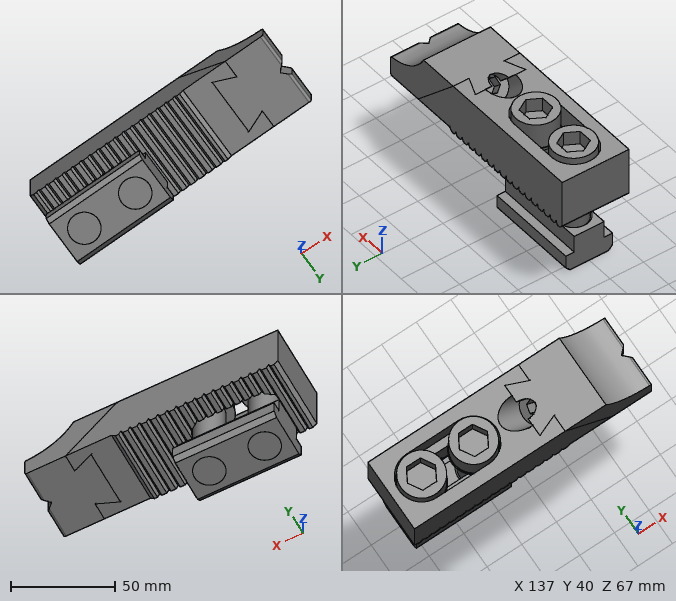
import cadquery as cq
import math


arm_length = 137.0
arm_width = 40.0
nut_height = 20.0
nut_gap = 14.0
base_height = 30.0
underside_z = nut_height + nut_gap
arm_top_z = underside_z + base_height

tooth_count = 18
toothed_length = 90.0
tooth_pitch = toothed_length / tooth_count
tooth_height = 2.0
groove_angle = 60.0
groove_half_width = tooth_height * math.tan(math.radians(groove_angle / 2))
smooth_underside_z = underside_z + tooth_height

nose_start_x = 110.5
nose_radius = 31.5
lip_height = 11.9
lip_fillet = 1.4
tip_notch_depth = 4.0

joint_top_x = 87.0
dovetail_depth = 11.2
dovetail_root_width = 21.0
dovetail_wide_width = 30.1
dovetail_face_x = joint_top_x - dovetail_depth

screw_pitch = 30.0
screws_middle_x = 32.6
screw_xs = [screws_middle_x - screw_pitch / 2, screws_middle_x + screw_pitch / 2]
head_diameter = 24.0
head_height = 16.0
collar_diameter = 25.0
collar_height = 1.4
head_protrusion = 3.0
shank_diameter = 16.0
hex_width = 14.0
hex_depth = 8.0
head_top_z = arm_top_z + head_protrusion
head_seat_z = head_top_z - head_height

seat_slot_width = 26.0
shank_slot_width = 17.0

nut_length = 55.0
nut_neck_width = 18.0
nut_foot_width = 28.0
nut_foot_height = 10.0
nut_chamfer = 2.5
nut_countersink_diameter = 17.8
nut_countersink_angle = 90

lock_diameter = 18.0
lock_length = 16.5
lock_depth = 9.9
lock_hex_width = 8.0
lock_hex_depth = 6.8
lock_hex_turn = 19.0
key_hole_diameter = 10.1


def hexagon_diameter(across_flats):
    """Diameter across the corners."""
    return across_flats / math.cos(math.radians(30))


def arm_blank():
    """Side outline of base and jaw, extruded over the full width."""
    lip_z = smooth_underside_z + lip_height
    outline = cq.Workplane("XZ").moveTo(0, arm_top_z).lineTo(nose_start_x, arm_top_z)
    outline = outline.radiusArc((arm_length, lip_z), -nose_radius)
    outline = outline.lineTo(arm_length, smooth_underside_z).lineTo(toothed_length, smooth_underside_z)
    outline = outline.lineTo(toothed_length - tooth_height, underside_z)
    outline = outline.lineTo(tooth_height, underside_z).lineTo(0, smooth_underside_z).close()
    blank = outline.extrude(arm_width / 2, both=True)
    return blank.edges("|Y").edges(">X").fillet(lip_fillet)


def tooth_grooves():
    grooves = cq.Workplane("XZ")
    for index in range(1, tooth_count):
        x = index * tooth_pitch
        grooves = grooves.moveTo(x - groove_half_width, underside_z).lineTo(x, smooth_underside_z)
        grooves = grooves.lineTo(x + groove_half_width, underside_z).close()
    return grooves.extrude(arm_width / 2, both=True)


def tip_notch():
    notch = cq.Workplane("XY").moveTo(arm_length - tip_notch_depth, 0)
    notch = notch.lineTo(arm_length, tip_notch_depth).lineTo(arm_length, -tip_notch_depth).close()
    return notch.extrude(arm_top_z)


def jaw_zone():
    """Space on the tip side of the joint: the dovetail outline swept down at 45 degrees."""
    root = dovetail_root_width / 2
    wide = dovetail_wide_width / 2
    points = [
        (arm_length, -arm_width), (arm_length, arm_width),
        (joint_top_x, arm_width), (joint_top_x, root),
        (dovetail_face_x, wide), (dovetail_face_x, -wide),
        (joint_top_x, -root), (joint_top_x, -arm_width),
    ]
    outline = cq.Wire.makePolygon([cq.Vector(x, y, arm_top_z) for x, y in points], close=True)
    sweep = cq.Vector(base_height, 0, -base_height)
    return cq.Workplane(cq.Solid.extrudeLinear(outline, [], sweep))


def lock_plane(depth):
    """Plane across the locking screw's axis, its normal pointing down into the joint."""
    offset = depth / math.sqrt(2)
    origin = (dovetail_face_x + offset, 0, arm_top_z - offset)
    return cq.Workplane(cq.Plane(origin=origin, xDir=(0, 1, 0), normal=(1, 0, -1)))


def lock_cylinder(diameter, start, end):
    return lock_plane(start).circle(diameter / 2).extrude(end - start)


def slot(width, bottom_z, top_z):
    """Round-ended slot along X, its end arcs centred on the clamping screws."""
    outline = cq.Workplane("XY", origin=(screws_middle_x, 0, bottom_z)).slot2D(screw_pitch + width, width)
    return outline.extrude(top_z - bottom_z)


def make_base(arm):
    base = arm.cut(jaw_zone()).cut(tooth_grooves())
    base = base.cut(slot(seat_slot_width, head_seat_z, arm_top_z))
    base = base.cut(slot(shank_slot_width, underside_z, head_seat_z))
    return base.cut(lock_cylinder(lock_diameter, -lock_diameter, lock_depth + lock_length))


def make_jaw(arm):
    jaw = arm.intersect(jaw_zone()).cut(tip_notch())
    jaw = jaw.cut(lock_cylinder(key_hole_diameter, -key_hole_diameter, lock_depth))
    return jaw.cut(lock_cylinder(lock_diameter, lock_depth, lock_depth + lock_length))


def make_lock_screw():
    screw = lock_cylinder(lock_diameter, lock_depth, lock_depth + lock_length)
    socket = lock_plane(lock_depth).transformed(rotate=(0, 0, lock_hex_turn))
    socket = socket.polygon(6, hexagon_diameter(lock_hex_width)).extrude(lock_hex_depth)
    return screw.cut(socket)


def make_clamping_screw(x):
    """Socket head screw whose shank passes through the T-nut and ends flush with its underside."""
    shank = cq.Workplane("XY", origin=(x, 0, 0)).circle(shank_diameter / 2).extrude(head_seat_z)
    head = cq.Workplane("XY", origin=(x, 0, head_seat_z)).circle(head_diameter / 2).extrude(head_height)
    collar = cq.Workplane("XY", origin=(x, 0, head_seat_z)).circle(collar_diameter / 2).extrude(collar_height)
    socket = cq.Workplane("XY", origin=(x, 0, head_top_z - hex_depth))
    socket = socket.polygon(6, hexagon_diameter(hex_width)).extrude(hex_depth)
    return shank.union(head).union(collar).cut(socket)


def make_t_nut():
    nut_middle = cq.Workplane("XY", origin=(screws_middle_x, 0, 0))
    foot = nut_middle.box(nut_length, nut_foot_width, nut_foot_height, centered=(True, True, False))
    foot = foot.edges("|X and <Z").chamfer(nut_chamfer)
    neck = nut_middle.box(nut_length, nut_neck_width, nut_height, centered=(True, True, False))
    nut = foot.union(neck).faces(">Z").workplane(origin=(0, 0, nut_height))
    nut = nut.pushPoints([(x, 0) for x in screw_xs])
    return nut.cskHole(shank_diameter, nut_countersink_diameter, nut_countersink_angle)


arm = arm_blank()
base = make_base(arm)
jaw = make_jaw(arm)
lock_screw = make_lock_screw()
t_nut = make_t_nut()
clamping_screws = [make_clamping_screw(x) for x in screw_xs]

result = cq.Compound.makeCompound([
    base.val(),
    jaw.val(),
    lock_screw.val(),
    t_nut.val(),
    *[screw.val() for screw in clamping_screws],
])